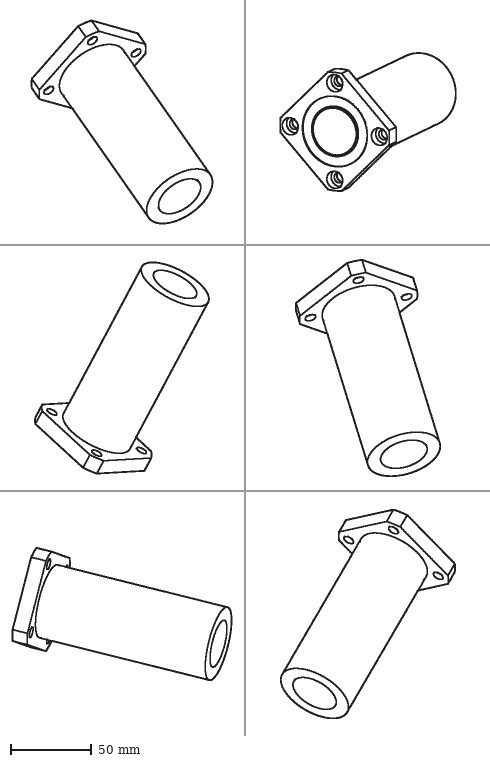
import cadquery as cq

length = 123.0
body_diameter = 47.0
bore_diameter = 30.0

flange_thickness = 10.0
flange_side = 60.0
flange_diameter = 76.0

recess_outer_diameter = 45.0
recess_inner_diameter = 32.0
recess_depth = 1.0

hole_count = 4
bolt_circle_radius = 31.0
hole_diameter = 6.6
counterbore_diameter = 11.0
counterbore_depth = 6.2


def cylinder_along_x(diameter, height):
    """Cylinder on the part axis, starting at the flange face."""
    return cq.Workplane("YZ").circle(diameter / 2).extrude(height)


def make_flange():
    square = cq.Workplane("YZ").rect(flange_side, flange_side).extrude(flange_thickness)
    diamond = square.rotate((0, 0, 0), (1, 0, 0), 45)
    return diamond.intersect(cylinder_along_x(flange_diameter, flange_thickness))


def make_recess():
    outer = cylinder_along_x(recess_outer_diameter, recess_depth)
    return outer.cut(cylinder_along_x(recess_inner_diameter, recess_depth))


def make_mounting_holes():
    centres = cq.Workplane("YZ").polarArray(bolt_circle_radius, 0, 360, hole_count)
    through_holes = centres.circle(hole_diameter / 2).extrude(flange_thickness)
    centres = cq.Workplane("YZ").polarArray(bolt_circle_radius, 0, 360, hole_count)
    counterbores = centres.circle(counterbore_diameter / 2).extrude(counterbore_depth)
    return through_holes.union(counterbores)


result = make_flange().union(cylinder_along_x(body_diameter, length))
result = result.cut(cylinder_along_x(bore_diameter, length))
result = result.cut(make_recess())
result = result.cut(make_mounting_holes())